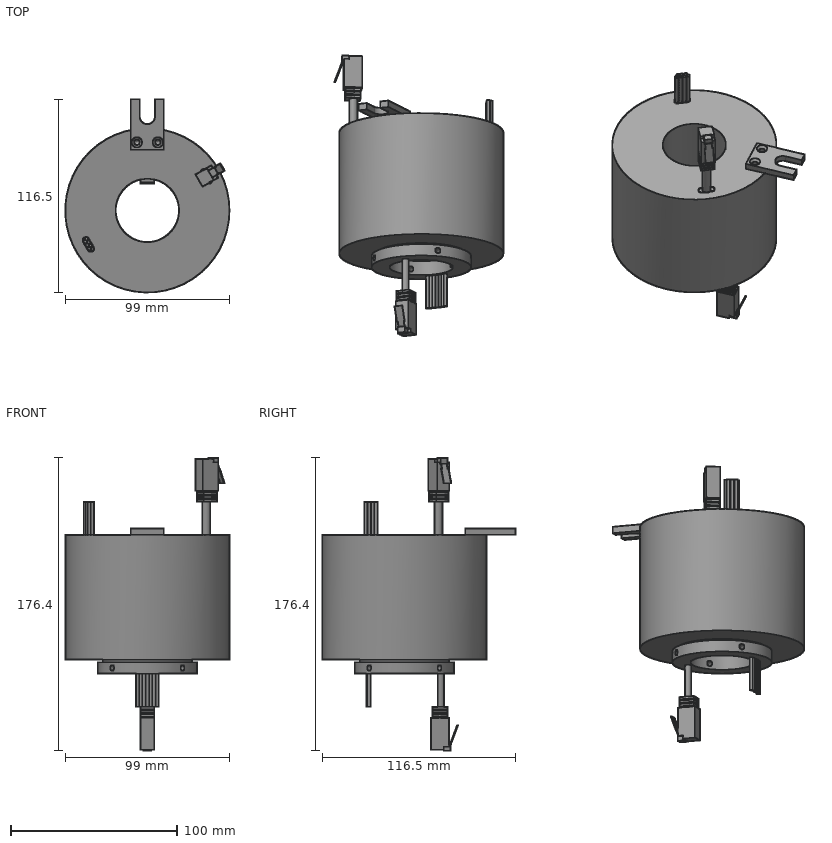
import cadquery as cq
import math

HOUSING_DIA = 99.0
HOUSING_HEIGHT = 75.0
BORE_DIA = 38.0

SLOT_RADIUS = 41.0
SLOT_LENGTH = 9.8
SLOT_WIDTH = 4.0
SLOT_DEPTH = 0.5
CABLE_SLOT_ANGLE = 30.0
WIRE_SLOT_ANGLE = CABLE_SLOT_ANGLE + 180.0

FLANGE_DIA = 60.0
FLANGE_THICKNESS = 7.0
NECK_DIA = 54.0
NECK_HEIGHT = 1.5
ROTOR_BOTTOM = -(NECK_HEIGHT + FLANGE_THICKNESS)
SET_SCREW_HOLE_DIA = 3.3
SET_SCREW_COUNT = 4

LEAD_LENGTH = 20.0
WIRE_DIA = 2.02
WIRE_COUNT = 7
WIRE_PITCH = 2.0
WIRE_ZIGZAG = 0.8
ROTOR_LEAD_RADIUS = 22.0
STATOR_CABLE_DIA = 5.0
ROTOR_CABLE_DIA = 4.0

PLUG_DEPTH = 11.0
PLUG_WIDTH = 8.5
PLUG_START = 6.55
PLUG_END = 25.85
RIB_DEPTH = 9.2
RIB_COUNT = 3
RIB_PITCH = PLUG_START / RIB_COUNT
RIB_THICKNESS = 1.4
CORE_DEPTH = 1.5
CORE_WIDTH = 8.0
STATOR_PLUG_OFFSET = 0.4
ROTOR_PLUG_OFFSET = -0.6
LATCH_WIDTH = 4.8
LATCH_INSET = 3.2
LATCH_OVERHANG = 1.0
LATCH_START = 22.85
LATCH_END = 26.47
NOTCH_DEPTH = 2.0
LEVER_RISE = 4.4
LEVER_TIP = 11.05
LEVER_THICKNESS = 0.6
LEVER_ROOT_WIDTH = 4.0
LEVER_TAB_WIDTH = 5.1
LEVER_TAB_SHARE = 0.75

BRACKET_WIDTH = 20.0
BRACKET_INNER_Y = 36.5
BRACKET_OUTER_Y = 67.0
BRACKET_THICKNESS = 4.0
FORK_WIDTH = 9.0
FORK_DEPTH = 15.0
SCREW_SPACING = 12.6
SCREW_Y = 41.0
SCREW_HOLE_DIA = 3.3
COUNTERSINK_DIA = 6.2
COUNTERSINK_ANGLE = 90.0
SCREW_HOLE_DEPTH = 8.0
DRILL_POINT_ANGLE = 118.0

SCREW_POINTS = [(-SCREW_SPACING / 2, SCREW_Y), (SCREW_SPACING / 2, SCREW_Y)]


def cylinder(diameter, height, base_z, x=0.0, y=0.0):
    return cq.Workplane("XY", origin=(x, y, base_z)).circle(diameter / 2).extrude(height)


def block(x_range, width, z_range):
    """Box centred on the XZ plane, given its X and Z ranges."""
    return (
        cq.Workplane("XY", origin=(0, 0, z_range[0]))
        .center(sum(x_range) / 2, 0)
        .rect(x_range[1] - x_range[0], width)
        .extrude(z_range[1] - z_range[0])
    )


def at_slot(shape, angle):
    """Move a shape built around the origin (local +X outward) to a slot on the top face."""
    return shape.translate((SLOT_RADIUS, 0, HOUSING_HEIGHT)).rotate((0, 0, 0), (0, 0, 1), angle)


def lead_slot():
    return cq.Workplane("XY").slot2D(SLOT_LENGTH, SLOT_WIDTH, 90).extrude(-SLOT_DEPTH)


def stator_wires():
    """Two staggered rows of wires standing on the slot floor."""
    step = math.sqrt(WIRE_PITCH**2 - (2 * WIRE_ZIGZAG) ** 2)
    points = []
    for i in range(WIRE_COUNT):
        side = 1 if i % 2 else -1
        points.append((side * WIRE_ZIGZAG, (i - (WIRE_COUNT - 1) / 2) * step))
    wires = cylinder(WIRE_DIA, SLOT_DEPTH + LEAD_LENGTH, -SLOT_DEPTH, *points[0])
    for point in points[1:]:
        wires = wires.union(cylinder(WIRE_DIA, SLOT_DEPTH + LEAD_LENGTH, -SLOT_DEPTH, *point))
    return wires


def screw_hole(x, y):
    """Blind hole with a drill point, going down from the top face."""
    radius = SCREW_HOLE_DIA / 2
    point_height = radius / math.tan(math.radians(DRILL_POINT_ANGLE / 2))
    profile = [(0, 0), (radius, 0), (radius, -SCREW_HOLE_DEPTH), (0, -SCREW_HOLE_DEPTH - point_height)]
    hole = cq.Workplane("XZ").polyline(profile).close().revolve(360, (0, 0, 0), (0, 1, 0))
    return hole.translate((x, y, HOUSING_HEIGHT))


def make_housing(cable):
    housing = cylinder(HOUSING_DIA, HOUSING_HEIGHT, 0).cut(cylinder(BORE_DIA, HOUSING_HEIGHT, 0))
    for angle in (CABLE_SLOT_ANGLE, WIRE_SLOT_ANGLE):
        housing = housing.cut(at_slot(lead_slot(), angle))
    for x, y in SCREW_POINTS:
        housing = housing.cut(screw_hole(x, y))
    return housing.cut(cable).union(at_slot(stator_wires(), WIRE_SLOT_ANGLE))


def make_rotor():
    rotor = cylinder(FLANGE_DIA, FLANGE_THICKNESS, ROTOR_BOTTOM)
    rotor = rotor.union(cylinder(NECK_DIA, NECK_HEIGHT, -NECK_HEIGHT))
    rotor = rotor.cut(cylinder(BORE_DIA, -ROTOR_BOTTOM, ROTOR_BOTTOM))

    hole = (
        cq.Workplane("YZ", origin=(0, 0, ROTOR_BOTTOM + FLANGE_THICKNESS / 2))
        .circle(SET_SCREW_HOLE_DIA / 2)
        .extrude(FLANGE_DIA / 2)
    )
    spacing = 360 / SET_SCREW_COUNT
    for i in range(SET_SCREW_COUNT):
        rotor = rotor.cut(hole.rotate((0, 0, 0), (0, 0, 1), (i + 0.5) * spacing))

    wire_step = 2 * math.asin(WIRE_PITCH / 2 / ROTOR_LEAD_RADIUS)
    for i in range(WIRE_COUNT):
        angle = -math.pi / 2 + (i - (WIRE_COUNT - 1) / 2) * wire_step
        x = ROTOR_LEAD_RADIUS * math.cos(angle)
        y = ROTOR_LEAD_RADIUS * math.sin(angle)
        rotor = rotor.union(cylinder(WIRE_DIA, LEAD_LENGTH, ROTOR_BOTTOM - LEAD_LENGTH, x, y))
    return rotor


def make_bracket():
    length = BRACKET_OUTER_Y - BRACKET_INNER_Y
    bracket = (
        cq.Workplane("XY", origin=(0, BRACKET_INNER_Y + length / 2, HOUSING_HEIGHT))
        .rect(BRACKET_WIDTH, length)
        .extrude(BRACKET_THICKNESS)
    )
    fork = (
        cq.Workplane("XY", origin=(0, BRACKET_OUTER_Y, HOUSING_HEIGHT))
        .slot2D(2 * FORK_DEPTH, FORK_WIDTH, 90)
        .extrude(BRACKET_THICKNESS)
    )
    return (
        bracket.cut(fork)
        .faces(">Z")
        .workplane(origin=(0, 0, 0))
        .pushPoints(SCREW_POINTS)
        .cskHole(SCREW_HOLE_DIA, COUNTERSINK_DIA, COUNTERSINK_ANGLE)
    )


def lever_part(root_x, first, last, width):
    """Stretch of the slanting lever between two shares of its length, counted from the root."""
    drop = LEVER_TIP - LATCH_START
    start = (root_x + first * LEVER_RISE, LATCH_START + first * drop)
    end = (root_x + last * LEVER_RISE, LATCH_START + last * drop)
    inner_end = (end[0] - LEVER_THICKNESS, end[1])
    inner_start = (start[0] - LEVER_THICKNESS, start[1])
    profile = cq.Workplane("XZ").polyline([start, end, inner_end, inner_start]).close()
    return profile.extrude(width / 2, both=True)


def plug_latch():
    """Latch root set into the plug's front end, with a lever slanting back and outward."""
    face_x = PLUG_DEPTH / 2
    root_x = face_x + LATCH_OVERHANG
    root = block((face_x - LATCH_INSET, root_x), LATCH_WIDTH, (LATCH_START, LATCH_END))
    lever = lever_part(root_x, 0.0, 1.0, LEVER_ROOT_WIDTH)
    tab = lever_part(root_x, 1 - LEVER_TAB_SHARE, 1.0, LEVER_TAB_WIDTH)
    return root.union(lever).union(tab)


def make_cable(cable_dia, plug_offset, embedded=0.0):
    """Cable with its plug: cable starts at the origin and runs up, latch toward +X."""
    plug = block((-PLUG_DEPTH / 2, PLUG_DEPTH / 2), PLUG_WIDTH, (PLUG_START, PLUG_END))
    plug = plug.cut(
        block((PLUG_DEPTH / 2 - LATCH_INSET, PLUG_DEPTH / 2), PLUG_WIDTH, (PLUG_END - NOTCH_DEPTH, PLUG_END))
    )
    for i in range(RIB_COUNT):
        start = i * RIB_PITCH
        plug = plug.union(block((-RIB_DEPTH / 2, RIB_DEPTH / 2), PLUG_WIDTH, (start, start + RIB_THICKNESS)))
    plug = plug.union(block((-CORE_DEPTH / 2, CORE_DEPTH / 2), CORE_WIDTH, (0, PLUG_START)))
    plug = plug.union(plug_latch()).translate((plug_offset, 0, LEAD_LENGTH))
    return plug.union(cylinder(cable_dia, embedded + LEAD_LENGTH, -embedded))


stator_cable = at_slot(make_cable(STATOR_CABLE_DIA, STATOR_PLUG_OFFSET, SLOT_DEPTH), CABLE_SLOT_ANGLE)
rotor_cable = (
    make_cable(ROTOR_CABLE_DIA, ROTOR_PLUG_OFFSET)
    .rotate((0, 0, 0), (1, 0, 0), 180)
    .translate((ROTOR_LEAD_RADIUS, 0, ROTOR_BOTTOM))
    .rotate((0, 0, 0), (0, 0, 1), 90)
)
housing = make_housing(stator_cable)
rotor = make_rotor()
bracket = make_bracket()

result = cq.Compound.makeCompound(
    [housing.val(), rotor.val(), bracket.val(), stator_cable.val(), rotor_cable.val()]
)